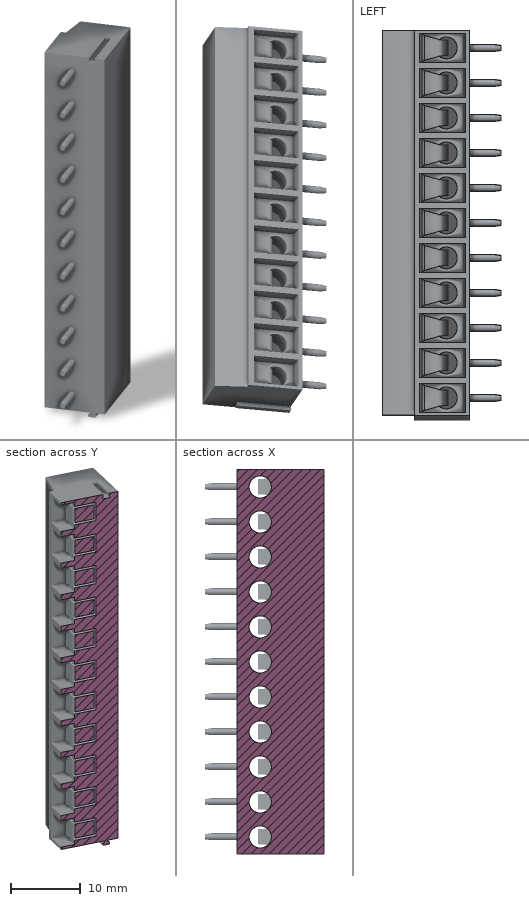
import cadquery as cq
import math

overall_length = 55.7
overall_depth = 17.0
rail_height = 0.65
pole_count = 11
body_length = overall_length - rail_height
body_width = 9.0
body_height = 12.5
pitch = body_length / pole_count

step_height = 7.9
step_inset = 0.8
top_inset = 1.5

pin_x = 4.1
pin_diameter = 1.0
pin_tip_diameter = 0.7
pin_tip_length = 0.9
pin_length = overall_depth - body_height

pocket_bottom = 0.55
pocket_top = 7.1
pocket_z_size = 4.1
pocket_depth = 2.1
pocket_bottom_rise = 0.3

hole_diameter = 3.1
hole_y = 3.35
hole_depth = 3.35

leaf_top_half_width = 2.0
leaf_shoulder_half_width = 1.8
leaf_bend_half_width = 1.2
leaf_tip_half_width = 1.1
leaf_stand_off = 0.15
leaf_top_gap = 0.35
leaf_bevel_length = 0.35
leaf_bend_y = 4.45
leaf_tip_y = 3.05
leaf_bend_radius = 0.65
leaf_bend_angle = math.radians(75)

rail_x = 7.1
rail_neck_length = 0.1
rail_widest_drop = 0.4
rail_neck_half_width = 0.3
rail_widest_half_width = 0.6
rail_foot_half_width = 0.5
groove_depth = 0.7
groove_mouth_half_width = 0.45
groove_neck_depth = 0.45
groove_floor_half_width = 0.6


def make_body():
    return (
        cq.Workplane("XY")
        .polyline([
            (0, 0),
            (body_width, 0),
            (body_width, body_height),
            (top_inset, body_height),
            (step_inset, step_height),
            (0, step_height),
        ])
        .close()
        .extrude(body_length)
    )


def make_pin(z):
    shank_length = pin_length - pin_tip_length
    return (
        cq.Workplane("XY", origin=(pin_x, 0, z))
        .polyline([
            (0, 0),
            (pin_diameter / 2, 0),
            (pin_diameter / 2, -shank_length),
            (pin_tip_diameter / 2, -pin_length),
            (0, -pin_length),
        ])
        .close()
        .revolve(360, (0, 0, 0), (0, 1, 0))
    )


def make_pocket(z):
    recess = (
        cq.Workplane("XY", origin=(0, 0, z))
        .polyline([
            (0, pocket_bottom),
            (pocket_depth, pocket_bottom + pocket_bottom_rise),
            (pocket_depth, pocket_top),
            (0, pocket_top),
        ])
        .close()
        .extrude(pocket_z_size / 2, both=True)
    )
    hole = (
        cq.Workplane("YZ", origin=(pocket_depth, hole_y, z))
        .circle(hole_diameter / 2)
        .extrude(hole_depth)
    )
    return recess.union(hole)


def make_leaf(z):
    face_x = pocket_depth - leaf_stand_off
    arc_drop = leaf_bend_radius * math.sin(leaf_bend_angle)
    arc_dive = leaf_bend_radius * (1 - math.cos(leaf_bend_angle))
    half_angle = leaf_bend_angle / 2
    leg_drop = leaf_bend_y - arc_drop - leaf_tip_y
    tip_x = face_x + arc_dive + leg_drop * math.tan(leaf_bend_angle)
    leaf_top = pocket_top - leaf_top_gap
    leaf_shoulder = leaf_top - leaf_bevel_length
    side = (
        cq.Workplane("XY", origin=(0, 0, z))
        .moveTo(pocket_depth, leaf_top)
        .lineTo(face_x, leaf_shoulder)
        .lineTo(face_x, leaf_bend_y)
        .threePointArc(
            (
                face_x + leaf_bend_radius * (1 - math.cos(half_angle)),
                leaf_bend_y - leaf_bend_radius * math.sin(half_angle),
            ),
            (face_x + arc_dive, leaf_bend_y - arc_drop),
        )
        .lineTo(tip_x, leaf_tip_y)
        .lineTo(tip_x, leaf_top)
        .close()
        .extrude(pocket_z_size / 2, both=True)
    )
    half = [
        (leaf_top, leaf_top_half_width),
        (leaf_shoulder, leaf_shoulder_half_width),
        (leaf_bend_y, leaf_bend_half_width),
        (leaf_bend_y - arc_drop, leaf_tip_half_width),
        (leaf_tip_y, leaf_tip_half_width),
    ]
    mirrored = [(y, -half_width) for y, half_width in reversed(half)]
    front = (
        cq.Workplane("YZ", origin=(0, 0, z))
        .polyline(half + mirrored)
        .close()
        .extrude(body_width)
    )
    return side.intersect(front)


def make_mirrored_bar(half_outline, z):
    """Bar along Y with an outline of (half width, height) points mirrored about rail_x."""
    mirrored = [(-half_width, height) for half_width, height in reversed(half_outline)]
    return (
        cq.Workplane("XZ", origin=(rail_x, 0, z))
        .polyline(half_outline + mirrored)
        .close()
        .extrude(-step_height)
    )


def make_rail():
    half_outline = [
        (rail_neck_half_width, 0),
        (rail_neck_half_width, -rail_neck_length),
        (rail_widest_half_width, -rail_widest_drop),
        (rail_foot_half_width, -rail_height),
    ]
    return make_mirrored_bar(half_outline, 0)


def make_groove():
    half_outline = [
        (groove_mouth_half_width, 0),
        (groove_mouth_half_width, -groove_neck_depth),
        (groove_floor_half_width, -groove_depth),
    ]
    return make_mirrored_bar(half_outline, body_length)


result = make_body().union(make_rail()).cut(make_groove())
for pole in range(pole_count):
    pole_z = (pole + 0.5) * pitch
    result = result.cut(make_pocket(pole_z))
    result = result.union(make_leaf(pole_z))
    result = result.union(make_pin(pole_z))